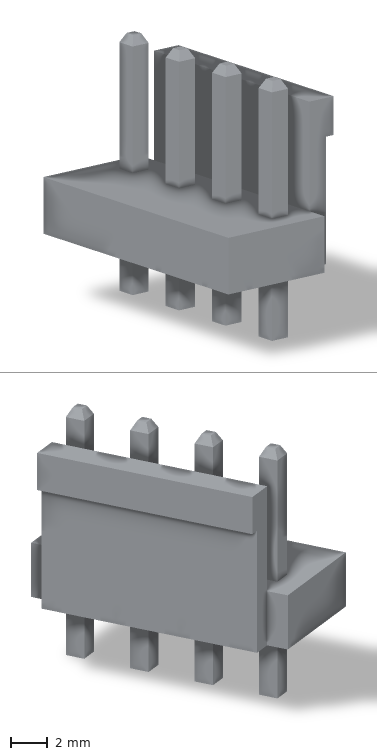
import cadquery as cq

base_length = 15.78
base_depth = 6.79
base_height = 3.2

wall_length = 13.24
wall_thickness = 1.18
wall_height = 9.4
lip_overhang = 0.54
lip_height = 2.2

pin_count = 4
pin_pitch = 3.96
pin_width = 1.14
pin_setback = 1.99
pin_length = 14.6
pin_tail = 3.7
tip_height = 0.54
tip_width = 0.57


def make_base():
    return cq.Workplane("XY").box(
        base_length, base_depth, base_height, centered=(True, False, False)
    ).translate((0, -base_depth, 0))


def make_wall():
    """Upright wall extruded along X from its hooked YZ profile."""
    lip_back = wall_thickness + lip_overhang
    lip_bottom = wall_height - lip_height
    profile = [
        (0, 0),
        (wall_thickness, 0),
        (wall_thickness, lip_bottom),
        (lip_back, lip_bottom),
        (lip_back, wall_height),
        (0, wall_height),
    ]
    return cq.Workplane("YZ").polyline(profile).close().extrude(wall_length / 2, both=True)


def make_pin(x):
    """Square pin with a tapered upper tip."""
    shank_length = pin_length - tip_height
    shank = cq.Workplane("XY").rect(pin_width, pin_width).extrude(shank_length)
    tip = (
        cq.Workplane("XY", origin=(0, 0, shank_length))
        .rect(pin_width, pin_width)
        .workplane(offset=tip_height)
        .rect(tip_width, tip_width)
        .loft(ruled=True)
    )
    return shank.union(tip).translate((x, -pin_setback, -pin_tail))


result = make_base().union(make_wall())
for index in range(pin_count):
    pin_x = (index - (pin_count - 1) / 2) * pin_pitch
    result = result.union(make_pin(pin_x))